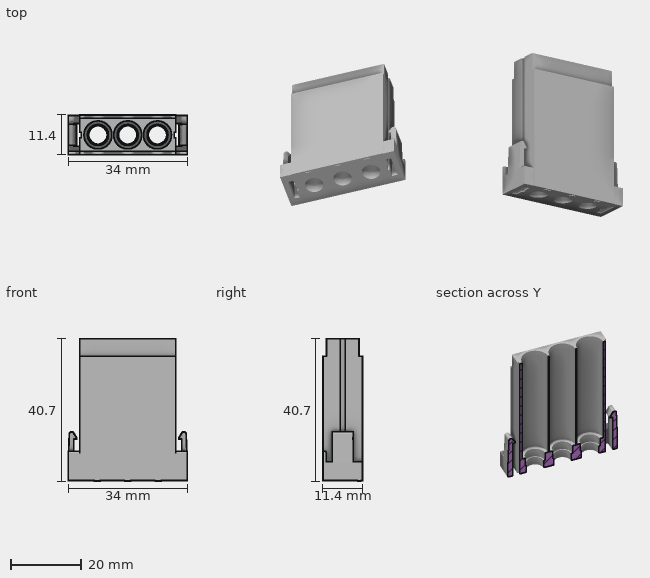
import cadquery as cq
import math

BLOCK_LENGTH = 27.5
BLOCK_DEPTH = 11.4
BLOCK_HEIGHT = 40.5
TOP_STEP_HEIGHT = 5.0
TOP_STEP_DEPTH = 1.0

BASE_LENGTH = 34.0
BASE_HEIGHT = 5.4
BASE_REAR_INSET = 0.12

RAIL_TOP = 8.4
RAIL_THICKNESS = 1.0

CAVITY_COUNT = 3
CAVITY_PITCH = 8.5
BORE_DIAMETER = 8.0
SEAT_DIAMETER = 6.0
THROAT_DIAMETER = 5.25
BORE_FLOOR = BASE_HEIGHT
SEAT_FLOOR = BASE_HEIGHT / 2

GROOVE_WIDTH = 1.5
GROOVE_DEPTH = 0.45

LATCH_WIDTH = 6.0
LATCH_THICKNESS = 1.62
LATCH_TOP = 13.93
LATCH_TIP_RADIUS = 0.7
LATCH_TAPER = 0.28
HOOK_REACH = 0.8
HOOK_UNDERSIDE = 11.8
HOOK_LIP = 0.45
WINDOW_CLEARANCE = 0.2

PAD_LENGTH = 1.7
PAD_WIDTH = 0.9
PAD_HEIGHT = 0.2
PAD_PITCH = 8.7
PAD_REAR_DISTANCE = 1.0

half_block = BLOCK_LENGTH / 2
half_base = BASE_LENGTH / 2
front_y = -BLOCK_DEPTH / 2
rear_y = BLOCK_DEPTH / 2
latch_inner_x = half_base - LATCH_THICKNESS


def box(x_range, y_range, z_range):
    """Box spanning the given (low, high) range along each axis."""
    sizes = [high - low for low, high in (x_range, y_range, z_range)]
    return cq.Workplane("XY").box(*sizes, centered=False).translate((x_range[0], y_range[0], z_range[0]))


def row_positions(pitch):
    """X positions of one item per cavity, centred on the block."""
    return [(i - (CAVITY_COUNT - 1) / 2) * pitch for i in range(CAVITY_COUNT)]


def both_ends(right_end):
    """The +X end feature together with its mirror image at the -X end."""
    return right_end.union(right_end.mirror("YZ"))


def make_block():
    """Tall block whose top is stepped in on the front and rear faces."""
    step_z = BLOCK_HEIGHT - TOP_STEP_HEIGHT
    half_top = rear_y - TOP_STEP_DEPTH
    span = (-half_block, half_block)
    lower = box(span, (front_y, rear_y), (0, step_z))
    upper = box(span, (-half_top, half_top), (step_z, BLOCK_HEIGHT))
    return lower.union(upper)


def make_base():
    """Wider flange around the foot of the block."""
    return box((-half_base, half_base), (front_y, rear_y - BASE_REAR_INSET), (0, BASE_HEIGHT))


def make_rail():
    """Round-topped wall along the front edge of the +X flange."""
    radius = RAIL_THICKNESS / 2
    shoulder_z = RAIL_TOP - radius
    inner_y = front_y + RAIL_THICKNESS
    profile = (
        cq.Workplane("YZ", origin=(half_block, 0, 0))
        .moveTo(front_y, 0)
        .lineTo(inner_y, 0)
        .lineTo(inner_y, shoulder_z)
        .threePointArc((front_y + radius, RAIL_TOP), (front_y, shoulder_z))
        .close()
    )
    return profile.extrude(half_base - half_block)


def make_latch():
    """Snap arm at the +X end, with a rounded tip and a hook facing the block."""
    tip_outer_x = half_base - LATCH_TAPER
    tip_x = tip_outer_x - LATCH_TIP_RADIUS
    tip_z = LATCH_TOP - LATCH_TIP_RADIUS
    hook_x = latch_inner_x - HOOK_REACH
    lip_z = HOOK_UNDERSIDE + HOOK_LIP

    lip_distance = math.hypot(hook_x - tip_x, lip_z - tip_z)
    lip_angle = math.atan2(lip_z - tip_z, hook_x - tip_x) % (2 * math.pi)
    tangent_angle = lip_angle - math.acos(LATCH_TIP_RADIUS / lip_distance)

    def tip_point(angle):
        return (
            tip_x + LATCH_TIP_RADIUS * math.cos(angle),
            tip_z + LATCH_TIP_RADIUS * math.sin(angle),
        )

    profile = (
        cq.Workplane("XZ")
        .moveTo(latch_inner_x, 0)
        .lineTo(half_base, 0)
        .lineTo(half_base, BASE_HEIGHT)
        .lineTo(tip_outer_x, tip_z)
        .threePointArc(tip_point(tangent_angle / 2), tip_point(tangent_angle))
        .lineTo(hook_x, lip_z)
        .lineTo(hook_x, HOOK_UNDERSIDE)
        .lineTo(latch_inner_x, HOOK_UNDERSIDE)
        .close()
    )
    return profile.extrude(LATCH_WIDTH / 2, both=True)


def make_window():
    """Opening through the flange between the +X latch and the block."""
    half_width = LATCH_WIDTH / 2 + WINDOW_CLEARANCE
    return box((half_block, latch_inner_x), (-half_width, half_width), (0, BASE_HEIGHT))


def make_groove():
    """Full-height groove down the middle of the +X end of the block."""
    x_range = (half_block - GROOVE_DEPTH, half_block)
    return box(x_range, (-GROOVE_WIDTH / 2, GROOVE_WIDTH / 2), (0, BLOCK_HEIGHT))


def make_cavity(x):
    """Contact cavity: wide bore, narrower seat and a throat through the bottom."""
    cavity = cq.Workplane("XY").circle(THROAT_DIAMETER / 2).extrude(BLOCK_HEIGHT)
    for diameter, floor in ((SEAT_DIAMETER, SEAT_FLOOR), (BORE_DIAMETER, BORE_FLOOR)):
        section = cq.Workplane("XY", origin=(0, 0, floor)).circle(diameter / 2)
        cavity = cavity.union(section.extrude(BLOCK_HEIGHT - floor))
    return cavity.translate((x, 0, 0))


def make_pad(x):
    """Small raised pad on the underside, near the rear face."""
    x_range = (x - PAD_LENGTH / 2, x + PAD_LENGTH / 2)
    pad_y = rear_y - PAD_REAR_DISTANCE
    y_range = (pad_y - PAD_WIDTH / 2, pad_y + PAD_WIDTH / 2)
    return box(x_range, y_range, (-PAD_HEIGHT, 0))


result = make_block().union(make_base()).union(both_ends(make_rail()))
result = result.cut(both_ends(make_window())).cut(both_ends(make_groove()))
result = result.union(both_ends(make_latch()))
for cavity_x in row_positions(CAVITY_PITCH):
    result = result.cut(make_cavity(cavity_x))
for pad_x in row_positions(PAD_PITCH):
    result = result.union(make_pad(pad_x))